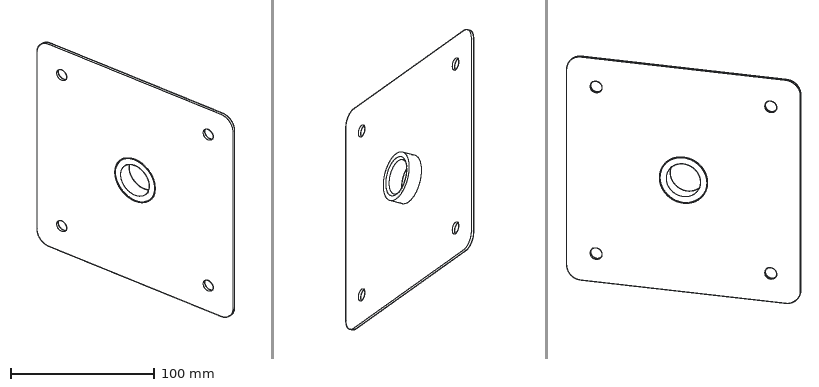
import cadquery as cq

plate_side = 170.0
plate_thickness = 2.0
corner_radius = 10.5

mount_spacing = 127.0
mount_diameter = 8.7

total_depth = 12.0
hub_diameter = 35.0
bore_diameter = 24.8
rear_chamfer = 1.7

groove_width = 0.42
groove_depth = 1.0


def along_y(start):
    """Workplane at Y = start whose extrusions run toward +Y."""
    return cq.Workplane("XZ", origin=(0, start, 0)).transformed(rotate=(180, 0, 0))


plate = (
    along_y(0)
    .rect(plate_side, plate_side)
    .extrude(plate_thickness)
    .edges("|Y")
    .fillet(corner_radius)
)

mount_holes = (
    along_y(0)
    .rect(mount_spacing, mount_spacing, forConstruction=True)
    .vertices()
    .circle(mount_diameter / 2)
    .extrude(plate_thickness)
)

hub = along_y(0).circle(hub_diameter / 2).extrude(total_depth)
bore = along_y(0).circle(bore_diameter / 2).extrude(total_depth)

groove = (
    along_y(0)
    .circle(hub_diameter / 2)
    .circle(hub_diameter / 2 - groove_width)
    .extrude(groove_depth)
)

body = plate.cut(mount_holes).union(hub).cut(bore).cut(groove)

result = body.faces(">Y").edges(cq.selectors.RadiusNthSelector(0)).chamfer(rear_chamfer)